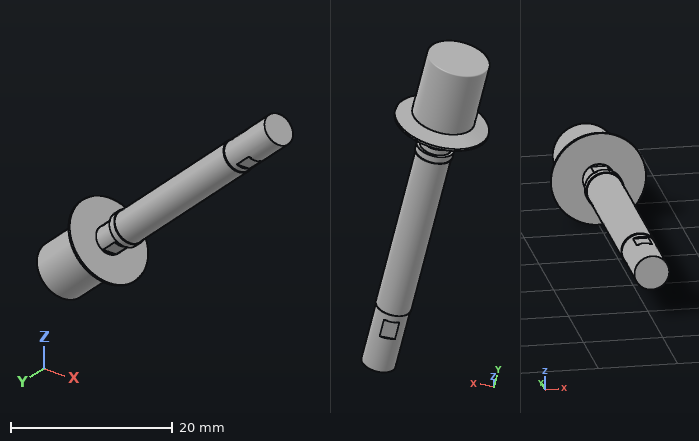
import cadquery as cq

TOTAL_LENGTH = 45.8

TIP_DIAMETER = 4.4
TIP_LENGTH = 8.47

BARREL_DIAMETER = 4.6
BARREL_LENGTH = 23.05
BARREL_CHAMFER = (BARREL_DIAMETER - TIP_DIAMETER) / 2

COLLAR_DIAMETER = 4.8
COLLAR_LENGTH = 1.0

HEAD_DIAMETER = 7.95
HEAD_LENGTH = 8.8
HEAD_EDGE_RADIUS = 0.2
FLANGE_DIAMETER = 12.0
FLANGE_RIM_THICKNESS = 0.3
FLANGE_SLOPE_LENGTH = 0.8

NECK_DIAMETER = 4.0

FLATS_LENGTH = 2.47
TIP_FLATS_START = 5.05
TIP_FLATS_WIDTH = 3.95
NECK_FLATS_WIDTH = 3.45
NECK_FLATS_GAP = 0.15

barrel_end = TIP_LENGTH + BARREL_LENGTH
collar_end = barrel_end + COLLAR_LENGTH
head_start = TOTAL_LENGTH - HEAD_LENGTH
flange_start = head_start - FLANGE_SLOPE_LENGTH - FLANGE_RIM_THICKNESS
neck_flats_start = flange_start - NECK_FLATS_GAP - FLATS_LENGTH


def cylinder(diameter, start, end):
    """Solid cylinder on the Y axis from start to end."""
    plane = cq.Workplane("XZ", origin=(0, start, 0))
    return plane.circle(diameter / 2).extrude(start - end)


def flange():
    """Disc with a thin rim and a conical back that meets the head."""
    rim_radius = FLANGE_DIAMETER / 2
    profile = (
        cq.Workplane("XY")
        .moveTo(0, flange_start)
        .lineTo(rim_radius, flange_start)
        .lineTo(rim_radius, flange_start + FLANGE_RIM_THICKNESS)
        .lineTo(HEAD_DIAMETER / 2, head_start)
        .lineTo(0, head_start)
        .close()
    )
    return profile.revolve(360, (0, 0, 0), (0, 1, 0))


def wrench_flats(diameter, width, start):
    """Material to remove above and below, leaving two flats the given width apart."""
    blank = cq.Workplane("XY").box(diameter, FLATS_LENGTH, 2 * diameter)
    core = cq.Workplane("XY").box(diameter, FLATS_LENGTH, width)
    return blank.cut(core).translate((0, start + FLATS_LENGTH / 2, 0))


tip = cylinder(TIP_DIAMETER, 0, TIP_LENGTH)
barrel = cylinder(BARREL_DIAMETER, TIP_LENGTH, barrel_end).faces("<Y").chamfer(BARREL_CHAMFER)
collar = cylinder(COLLAR_DIAMETER, barrel_end, collar_end)
neck = cylinder(NECK_DIAMETER, collar_end, flange_start)
head = cylinder(HEAD_DIAMETER, head_start, TOTAL_LENGTH).faces(">Y").edges().fillet(HEAD_EDGE_RADIUS)

tip = tip.cut(wrench_flats(TIP_DIAMETER, TIP_FLATS_WIDTH, TIP_FLATS_START))
neck = neck.cut(wrench_flats(NECK_DIAMETER, NECK_FLATS_WIDTH, neck_flats_start))

result = tip.union(barrel).union(collar).union(neck).union(flange()).union(head)